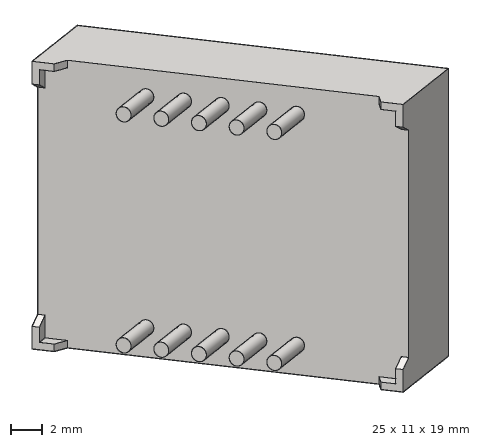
import cadquery as cq

width = 25.0
height = 19.0
overall_depth = 11.0
body_depth = 7.0

foot_height = 1.0
foot_wall = 0.5
foot_tip_length = 1.5
foot_root_length = 2.0

pins_per_row = 5
pin_diameter = 1.0
pin_row_length = 10.15
pin_row_spacing = 15.25
pin_centre_x = -0.1
pin_centre_z = 0.1

pin_length = overall_depth - body_depth
pin_pitch = pin_row_length / (pins_per_row - 1)


def make_body():
    """Plain block with its mounting face on Y = 0."""
    return cq.Workplane("XY").box(width, body_depth, height, centered=(True, False, True))


def make_foot():
    """L-shaped foot on the -X, -Z corner: two walls whose free ends slope out to the root."""
    profile = [
        (0, 0),
        (0, -foot_height),
        (foot_tip_length, -foot_height),
        (foot_root_length, 0),
    ]
    corner = (-width / 2, 0, -height / 2)
    wall_along_x = cq.Workplane("XY", origin=corner).polyline(profile).close().extrude(foot_wall)
    wall_along_z = cq.Workplane("ZY", origin=corner).polyline(profile).close().extrude(-foot_wall)
    return wall_along_x.union(wall_along_z)


def make_pins():
    """Both rows of pins, standing out from the mounting face."""
    return (
        cq.Workplane("XZ", origin=(pin_centre_x, 0, pin_centre_z))
        .rarray(pin_pitch, pin_row_spacing, pins_per_row, 2)
        .circle(pin_diameter / 2)
        .extrude(pin_length)
    )


left_bottom_foot = make_foot()
bottom_feet = left_bottom_foot.union(left_bottom_foot.mirror("YZ"))
feet = bottom_feet.union(bottom_feet.mirror("XY"))

result = make_body().union(feet).union(make_pins())